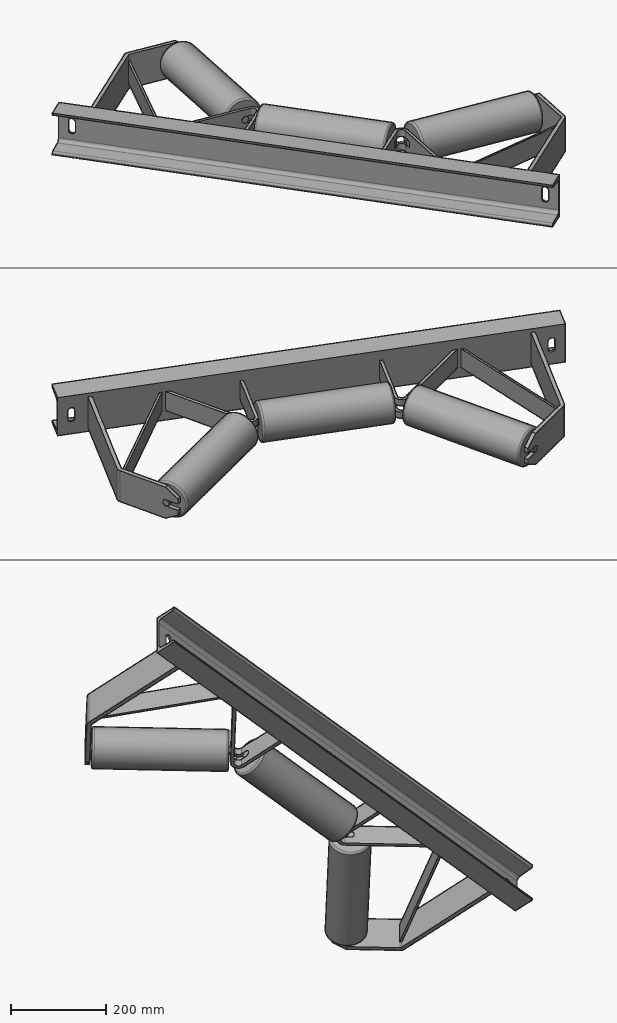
import cadquery as cq
import math

CHANNEL_LENGTH = 1100.0
CHANNEL_HEIGHT = 100.0
FLANGE_DEPTH = 50.0
WEB_THICKNESS = 5.0
FLANGE_ROOT_THICKNESS = 10.1
FLANGE_TIP_THICKNESS = 6.8
ROOT_RADIUS = 8.5
TOE_RADIUS = 4.5
MOUNT_SLOT_WIDTH = 15.0
MOUNT_SLOT_HEIGHT = 36.0
MOUNT_SLOT_INSET = 30.0
EDGE_MARGIN = 1.0

TROUGH_ANGLE = 45.0
ROLLER_DIAMETER = 89.0
ROLLER_LENGTH = 288.0
ROLLER_EDGE_RADIUS = 4.0
SHAFT_RADIUS = 8.0
MIDDLE_ROLLER_Y = 117.0
MIDDLE_GAP = 3.0
SIDE_GAP = 4.0
SIDE_SHAFT_ALONG_ARM = -36.0

INNER_BAR_WIDTH = 50.0
INNER_BAR_THICKNESS = 7.0
INNER_BEND_RADIUS = 16.0
INNER_BEND_Y = 129.0

OUTER_BAR_WIDTH = 81.0
OUTER_BAR_THICKNESS = 9.0
OUTER_BEND_RADIUS = 14.0
OUTER_BEND_Y = 258.0
TIP_ABOVE_SHAFT = 30.0
TIP_CHAMFER_LENGTH = 31.0
TIP_CHAMFER_WIDTH = 20.0

BRACE_WIDTH = 50.0
BRACE_THICKNESS = 5.0
BRACE_FOOT_X = -327.0

SLOT_OPENING = 44.0
SLOT_OVERRUN = 11.0

tilt = math.radians(TROUGH_ANGLE)
RIGHT = cq.Vector(1, 0, 0)
LEFT = cq.Vector(-1, 0, 0)
AXIS_DIR = cq.Vector(-math.cos(tilt), math.sin(tilt), 0)
ARM_DIR = cq.Vector(math.sin(tilt), math.cos(tilt), 0)

inner_leg_face = -(ROLLER_LENGTH / 2 + MIDDLE_GAP)
inner_bend = cq.Vector(inner_leg_face - INNER_BEND_RADIUS, INNER_BEND_Y, 0)
inner_arm_level = inner_bend.dot(AXIS_DIR) + INNER_BEND_RADIUS

outer_arm_level = inner_arm_level + ROLLER_LENGTH + 2 * SIDE_GAP
outer_bend_level = outer_arm_level + OUTER_BAR_THICKNESS - OUTER_BEND_RADIUS
outer_bend = cq.Vector((outer_bend_level - OUTER_BEND_Y * AXIS_DIR.y) / AXIS_DIR.x, OUTER_BEND_Y, 0)

middle_shaft_start = inner_leg_face - INNER_BAR_THICKNESS
side_shaft_start = inner_arm_level - INNER_BAR_THICKNESS
middle_shaft_length = -2 * middle_shaft_start
side_shaft_length = outer_arm_level + OUTER_BAR_THICKNESS - side_shaft_start
side_roller_start = inner_arm_level + SIDE_GAP


def xy(vector):
    return vector.x, vector.y


def middle_plane(start):
    """Plane across the middle roller's axis at X = start, extruding to +X."""
    return cq.Plane(origin=(start, MIDDLE_ROLLER_Y, 0), xDir=(0, 0, -1), normal=(1, 0, 0))


def side_plane(start):
    """Plane across the left side roller's axis, extruding outward along it."""
    origin = AXIS_DIR * start + ARM_DIR * SIDE_SHAFT_ALONG_ARM
    return cq.Plane(origin=origin.toTuple(), xDir=(0, 0, 1), normal=AXIS_DIR.toTuple())


def fillet_inner_edges(channel, edge_y, radius):
    """Round the lengthwise edges at Y = edge_y that lie inside the channel's outer faces."""
    inner_z = CHANNEL_HEIGHT / 2 - EDGE_MARGIN
    inner_edges = cq.selectors.BoxSelector(
        (-CHANNEL_LENGTH, edge_y - EDGE_MARGIN, -inner_z),
        (CHANNEL_LENGTH, edge_y + EDGE_MARGIN, inner_z),
    )
    return channel.edges("|X").edges(inner_edges).fillet(radius)


def make_channel():
    half = CHANNEL_HEIGHT / 2
    profile = (
        cq.Workplane("YZ")
        .moveTo(0, -half)
        .lineTo(-FLANGE_DEPTH, -half)
        .lineTo(-FLANGE_DEPTH, -half + FLANGE_TIP_THICKNESS)
        .lineTo(-WEB_THICKNESS, -half + FLANGE_ROOT_THICKNESS)
        .lineTo(-WEB_THICKNESS, half - FLANGE_ROOT_THICKNESS)
        .lineTo(-FLANGE_DEPTH, half - FLANGE_TIP_THICKNESS)
        .lineTo(-FLANGE_DEPTH, half)
        .lineTo(0, half)
        .close()
    )
    channel = profile.extrude(CHANNEL_LENGTH / 2, both=True)
    channel = fillet_inner_edges(channel, -WEB_THICKNESS, ROOT_RADIUS)
    channel = fillet_inner_edges(channel, -FLANGE_DEPTH, TOE_RADIUS)
    slot_x = CHANNEL_LENGTH / 2 - MOUNT_SLOT_INSET
    slots = (
        cq.Workplane("XZ")
        .pushPoints([(-slot_x, 0), (slot_x, 0)])
        .slot2D(MOUNT_SLOT_HEIGHT, MOUNT_SLOT_WIDTH, 90)
        .extrude(WEB_THICKNESS)
    )
    return channel.cut(slots)


def make_roller(roller_plane, shaft_plane, shaft_length):
    shell = cq.Workplane(roller_plane).circle(ROLLER_DIAMETER / 2).extrude(ROLLER_LENGTH)
    shell = shell.edges("%CIRCLE").fillet(ROLLER_EDGE_RADIUS)
    shaft = cq.Workplane(shaft_plane).circle(SHAFT_RADIUS).extrude(shaft_length)
    return shell.union(shaft)


def make_slot_cutter(plane, length):
    """U-shaped cutter, round under the shaft and open on the side where the shaft drops in."""
    return (
        cq.Workplane(plane)
        .moveTo(-SHAFT_RADIUS, 0)
        .threePointArc((0, -SHAFT_RADIUS), (SHAFT_RADIUS, 0))
        .lineTo(SHAFT_RADIUS, SLOT_OPENING)
        .lineTo(-SHAFT_RADIUS, SLOT_OPENING)
        .close()
        .extrude(length)
    )


def make_bent_bar(bend, leg_side, outer_radius, thickness, arm_length, width):
    """Bar up from Y = 0 along its leg, round the bend centre, then arm_length along ARM_DIR.

    leg_side points from the bend centre to the leg; the arm lies on the AXIS_DIR side.
    """
    inner_radius = outer_radius - thickness
    mid_bend = (leg_side + AXIS_DIR).normalized()
    arm_end = bend + ARM_DIR * arm_length
    leg_foot = cq.Vector(bend.x, 0, 0)
    return (
        cq.Workplane("XY")
        .moveTo(*xy(leg_foot + leg_side * outer_radius))
        .lineTo(*xy(bend + leg_side * outer_radius))
        .threePointArc(xy(bend + mid_bend * outer_radius), xy(bend + AXIS_DIR * outer_radius))
        .lineTo(*xy(arm_end + AXIS_DIR * outer_radius))
        .lineTo(*xy(arm_end + AXIS_DIR * inner_radius))
        .lineTo(*xy(bend + AXIS_DIR * inner_radius))
        .threePointArc(xy(bend + mid_bend * inner_radius), xy(bend + leg_side * inner_radius))
        .lineTo(*xy(leg_foot + leg_side * inner_radius))
        .close()
        .extrude(width / 2, both=True)
    )


def make_inner_bracket():
    arm_length = -(INNER_BEND_Y + INNER_BEND_RADIUS) / ARM_DIR.y
    bracket = make_bent_bar(
        inner_bend, RIGHT, INNER_BEND_RADIUS, INNER_BAR_THICKNESS, arm_length, INNER_BAR_WIDTH
    )
    below_channel_face = (
        cq.Workplane("XY")
        .box(CHANNEL_LENGTH, FLANGE_DEPTH, CHANNEL_HEIGHT)
        .translate((0, -FLANGE_DEPTH / 2, 0))
    )
    return bracket.cut(below_channel_face).cut(middle_slot).cut(side_slot)


def make_outer_bracket():
    tip_along_arm = SIDE_SHAFT_ALONG_ARM + TIP_ABOVE_SHAFT
    arm_length = tip_along_arm - outer_bend.dot(ARM_DIR)
    bracket = make_bent_bar(
        outer_bend, LEFT, OUTER_BEND_RADIUS, OUTER_BAR_THICKNESS, arm_length, OUTER_BAR_WIDTH
    )
    half_width = OUTER_BAR_WIDTH / 2
    arm_face = cq.Plane(
        origin=(AXIS_DIR * outer_arm_level + ARM_DIR * tip_along_arm).toTuple(),
        xDir=(0, 0, 1),
        normal=AXIS_DIR.toTuple(),
    )
    for edge in (-1, 1):
        corner = (
            cq.Workplane(arm_face)
            .moveTo(edge * half_width, 0)
            .lineTo(edge * (half_width - TIP_CHAMFER_WIDTH), 0)
            .lineTo(edge * half_width, -TIP_CHAMFER_LENGTH)
            .close()
            .extrude(OUTER_BAR_THICKNESS)
        )
        bracket = bracket.cut(corner)
    return bracket.cut(side_slot)


def make_brace(bracket):
    """Strip from the channel into the inside of the outer bend, trimmed to the bracket."""
    inner_radius = OUTER_BEND_RADIUS - OUTER_BAR_THICKNESS
    foot = cq.Vector(BRACE_FOOT_X, 0, 0)
    bend_inside = outer_bend + (LEFT + AXIS_DIR).normalized() * inner_radius
    direction = (bend_inside - foot).normalized()
    top = bend_inside + direction * (OUTER_BAR_THICKNESS / 2)
    half_foot = RIGHT * (BRACE_THICKNESS / direction.y / 2)
    half_top = cq.Vector(direction.y, -direction.x, 0) * (BRACE_THICKNESS / 2)
    outline = [foot - half_foot, foot + half_foot, top + half_top, top - half_top]
    strip = (
        cq.Workplane("XY")
        .polyline([xy(point) for point in outline])
        .close()
        .extrude(BRACE_WIDTH / 2, both=True)
    )
    return strip.cut(bracket)


middle_slot = make_slot_cutter(
    middle_plane(middle_shaft_start - SLOT_OVERRUN), middle_shaft_length + 2 * SLOT_OVERRUN
)
side_slot = make_slot_cutter(
    side_plane(side_shaft_start - SLOT_OVERRUN), side_shaft_length + 2 * SLOT_OVERRUN
)

channel = make_channel()
middle_roller = make_roller(
    middle_plane(-ROLLER_LENGTH / 2), middle_plane(middle_shaft_start), middle_shaft_length
)
side_roller = make_roller(
    side_plane(side_roller_start), side_plane(side_shaft_start), side_shaft_length
)
inner_bracket = make_inner_bracket()
outer_bracket = make_outer_bracket()
brace = make_brace(outer_bracket)

paired_bodies = []
for body in (side_roller, inner_bracket, outer_bracket, brace):
    paired_bodies += [body.val(), body.mirror("YZ").val()]

result = cq.Compound.makeCompound([channel.val(), middle_roller.val(), *paired_bodies])